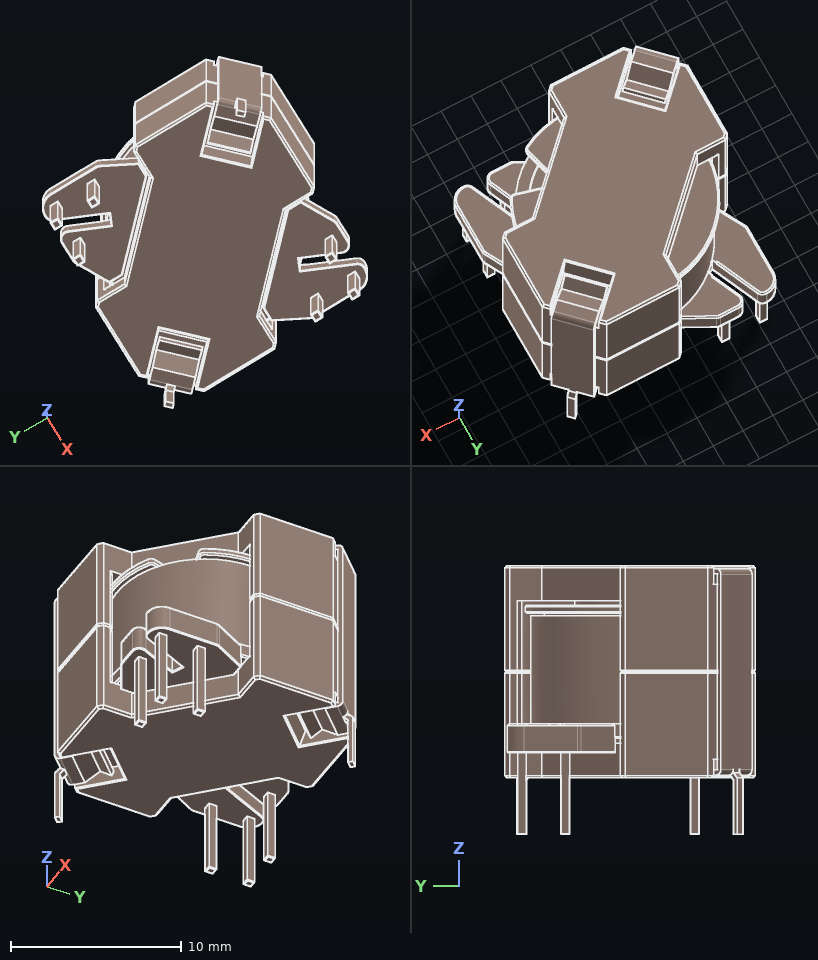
import cadquery as cq
import math


core_size = 14.7
core_height = 12.47
end_flat_corner = 4.58
leg_face = 0.57
waist_corner = 5.19
leg_corner_cut = 0.28
outer_chamfer = 0.14
seam_chamfer = 0.1
plate_thickness = 2.05
cavity_radius = 6.36
window_width = 8.55

post_diameter = 6.5
coil_diameter = 10.07
tape_bore = 10.18
tape_diameter = 11.68
flange_radius = 6.14
flange_clearance = 0.27
upper_flange_thickness = 0.47
tape_end_gap = 0.14
flange_chamfer = 0.1
exit_corner_radius = 0.32
exit_gap_apex = 3.42
exit_gap_half_angle = 30.0
block_bottom = 1.48
block_top = 3.17
block_reach = 7.2
block_shoulder = 2.98
shoulder_radius = 0.47
block_root = (0.85, 6.06)
block_inner = 5.18
block_corner_radius = 0.96
slot_side_radius = 0.47
block_top_chamfer = 0.11
block_bottom_chamfer = 0.05
slot_width = 0.74
slot_angle = 24.0
slot_start = (4.12, 4.17)
slot_lead = 0.15
pin_size = 0.5
pin_bottom = -3.31
pin_tip_chamfer = 0.05
pin_near = 3.8
pin_far = 6.35

clip_outer = 8.84
clip_thickness = 0.3
clip_width = 2.59
clip_recess = 0.17
clip_bend_radius = 0.35
clip_flat_end = 7.75
valley_distance = 6.8
valley_contact = 0.15
crest_depth = 0.32
crest_distance = 6.1
clip_tip = 5.96
notch_width = 2.97
notch_depth = 1.1
notch_inner_top = 5.33
notch_inner_floor = 5.71
notch_chamfer = 0.06
jog_top = 0.32

half_size = core_size / 2
mid_height = core_height / 2
cavity_top = core_height - plate_thickness
lower_flange_bottom = plate_thickness + flange_clearance
upper_flange_top = cavity_top - flange_clearance
upper_flange_bottom = upper_flange_top - upper_flange_thickness
beyond = 2 * core_size
edge_search = 0.08


def disc(radius, bottom, top):
    return cq.Workplane("XY").workplane(offset=bottom).circle(radius).extrude(top - bottom)


def both_ends(solid):
    """Add a copy turned half way round the Z axis."""
    return solid.union(solid.rotate((0, 0, 0), (0, 0, 1), 180))


def mirrored_top_to_bottom(solid):
    return solid.union(solid.mirror("XY", (0, 0, mid_height)))


def onto_diagonal(solid):
    """Turn a solid built along +X onto the +X +Y diagonal."""
    return solid.rotate((0, 0, 0), (0, 0, 1), 45)


def make_cavity():
    """Round space for the bobbin with a window through both waist sides."""
    window = (
        cq.Workplane("XY").workplane(offset=plate_thickness)
        .rect(window_width, beyond).extrude(cavity_top - plate_thickness)
    )
    return disc(cavity_radius, plate_thickness, cavity_top).union(onto_diagonal(window))


def make_core_body():
    """Two mirrored halves, hollow for the bobbin, with a V groove where they meet."""
    cut_start = half_size - leg_corner_cut
    leg_step = leg_face - leg_corner_cut
    half_outline = [
        (end_flat_corner, half_size),
        (-leg_step, half_size),
        (-leg_face, cut_start),
        (-leg_face, waist_corner),
        (-waist_corner, leg_face),
        (-cut_start, leg_face),
        (-half_size, leg_step),
        (-half_size, -end_flat_corner),
    ]
    outline = half_outline + [(-x, -y) for x, y in half_outline]
    upper_half = (
        cq.Workplane("XY").workplane(offset=mid_height).polyline(outline).close().extrude(mid_height)
        .faces(">Z").edges().chamfer(outer_chamfer)
        .cut(make_cavity())
        .faces("<Z").edges().chamfer(seam_chamfer)
    )
    return mirrored_top_to_bottom(upper_half)


def make_clip_notches():
    """Notches for the clip legs at both diagonal ends, in the top and the bottom plate."""
    floor = core_height - notch_depth
    profile = [
        (notch_inner_floor, floor),
        (notch_inner_top, core_height),
        (beyond, core_height),
        (beyond, floor),
    ]
    notch = cq.Workplane("XZ").polyline(profile).close().extrude(notch_width / 2, both=True)
    rim = (
        cq.Workplane("XY").workplane(offset=core_height)
        .center((notch_inner_top + beyond) / 2, 0)
        .rect(beyond - notch_inner_top + 2 * notch_chamfer, notch_width + 2 * notch_chamfer)
        .extrude(-notch_chamfer, taper=45)
    )
    return both_ends(onto_diagonal(mirrored_top_to_bottom(notch.union(rim))))


def round_upright_edge(solid, x, y, radius):
    """Round the vertical edge that passes through (x, y)."""
    corner = cq.selectors.BoxSelector(
        (x - edge_search, y - edge_search, -beyond), (x + edge_search, y + edge_search, beyond))
    return solid.edges("|Z").edges(corner).fillet(radius)


def make_terminal_block():
    """Pin block on the +X -Y side, split by a slanting slot, and the slot itself."""
    root_side, root_end = block_root
    outline = [
        (root_side, -root_end),
        (block_shoulder, -block_reach),
        (block_reach, -block_reach),
        (block_reach, -block_shoulder),
        (root_end, -root_side),
        (block_inner, -root_side),
        (root_side, -block_inner),
    ]
    height = block_top - block_bottom
    block = cq.Workplane("XY").workplane(offset=block_bottom).polyline(outline).close().extrude(height)
    slot_x, slot_y = slot_start
    slot = (
        cq.Workplane("XY").workplane(offset=block_bottom)
        .rect(slot_width, beyond).extrude(height)
        .translate((0, -beyond / 2 + slot_lead, 0))
        .rotate((0, 0, 0), (0, 0, 1), slot_angle)
        .translate((slot_x, -slot_y, 0))
    )
    block = round_upright_edge(block, block_shoulder, -block_reach, shoulder_radius)
    block = round_upright_edge(block, block_reach, -block_shoulder, shoulder_radius)
    block = round_upright_edge(block, block_reach, -block_reach, block_corner_radius)
    block = block.cut(slot)
    for side in (-1, 1):
        mouth_x = (
            slot_x + side * slot_width / (2 * math.cos(math.radians(slot_angle)))
            + (block_reach - slot_y) * math.tan(math.radians(slot_angle))
        )
        block = round_upright_edge(block, mouth_x, -block_reach, slot_side_radius)
    block = (
        block.faces(">Z").edges().chamfer(block_top_chamfer)
        .faces("<Z").edges().chamfer(block_bottom_chamfer)
    )
    return block, slot


def make_terminals():
    """Both terminal blocks on the lower flange, with their six pins."""
    block, slot = make_terminal_block()
    flange = disc(flange_radius, lower_flange_bottom, block_top).faces("<Z").edges().chamfer(flange_chamfer)
    terminals = both_ends(block).union(flange.cut(both_ends(slot)))
    pin = (
        cq.Workplane("XY").workplane(offset=pin_bottom)
        .rect(pin_size, pin_size).extrude(block_bottom - pin_bottom)
        .faces("<Z").edges().chamfer(pin_tip_chamfer)
    )
    for x, y in [(pin_near, -pin_far), (pin_far, -pin_far), (pin_far, -pin_near)]:
        terminals = terminals.union(both_ends(pin.translate((x, y, 0))))
    return terminals


def make_winding():
    """Coil, its outer tape, the slotted upper flange and the centre post."""
    coil = disc(coil_diameter / 2, block_top, upper_flange_bottom)
    tape = disc(tape_diameter / 2, block_top, upper_flange_bottom - tape_end_gap)
    tape = tape.cut(disc(tape_bore / 2, block_top, upper_flange_bottom))
    flange = disc(flange_radius, upper_flange_bottom, upper_flange_top)
    spread = beyond * math.tan(math.radians(exit_gap_half_angle))
    exit_gap = (
        cq.Workplane("XY").workplane(offset=upper_flange_bottom)
        .polyline([(exit_gap_apex, 0), (exit_gap_apex + beyond, spread), (exit_gap_apex + beyond, -spread)])
        .close().extrude(upper_flange_thickness)
        .rotate((0, 0, 0), (0, 0, 1), -45)
    )
    flange = (
        flange.cut(exit_gap)
        .edges("|Z and (>X or <Y)").fillet(exit_corner_radius)
        .faces("<Z or >Z").edges().chamfer(flange_chamfer)
    )
    post = disc(post_diameter / 2, plate_thickness, cavity_top)
    return coil.union(tape).union(flange).union(post)


def make_clip():
    """Spring clip lying along +X, with its earth pin."""
    clip_inner = clip_outer - clip_thickness
    leg_top = core_height - clip_recess
    crest = core_height - crest_depth
    valley_floor = core_height - notch_depth
    leg_surface = [
        (clip_flat_end, leg_top),
        (valley_distance, valley_floor + clip_thickness),
        (crest_distance, crest),
    ]
    leg_underside = [
        (clip_tip, crest - clip_thickness),
        (valley_distance - valley_contact / 2, valley_floor),
        (valley_distance + valley_contact / 2, valley_floor),
        (clip_flat_end, leg_top - clip_thickness),
    ]
    bend_start = leg_top - clip_bend_radius
    bend_middle = clip_bend_radius * (1 - math.sqrt(0.5))
    upper_half = (
        cq.Workplane("XZ")
        .moveTo(clip_inner, mid_height)
        .lineTo(clip_outer, mid_height)
        .lineTo(clip_outer, bend_start)
        .threePointArc((clip_outer - bend_middle, leg_top - bend_middle),
                       (clip_outer - clip_bend_radius, leg_top))
        .polyline(leg_surface + leg_underside, includeCurrent=True)
        .lineTo(clip_inner, leg_top - clip_thickness)
        .close()
        .extrude(clip_width / 2, both=True)
    )
    pin_outer = clip_outer + clip_thickness
    pin_profile = [
        (clip_inner, jog_top + clip_thickness),
        (clip_outer, jog_top + clip_thickness),
        (clip_outer, jog_top),
        (pin_outer, jog_top - clip_thickness),
        (pin_outer, pin_bottom),
        (clip_outer, pin_bottom),
        (clip_outer, jog_top - 1.5 * clip_thickness),
        (clip_inner, jog_top - clip_thickness / 2),
    ]
    pin = cq.Workplane("XZ").polyline(pin_profile).close().extrude(pin_size / 2, both=True)
    return mirrored_top_to_bottom(upper_half).union(pin)


core = make_core_body().cut(make_clip_notches())
clips = both_ends(onto_diagonal(make_clip()))
result = core.union(make_winding()).union(make_terminals()).union(clips)